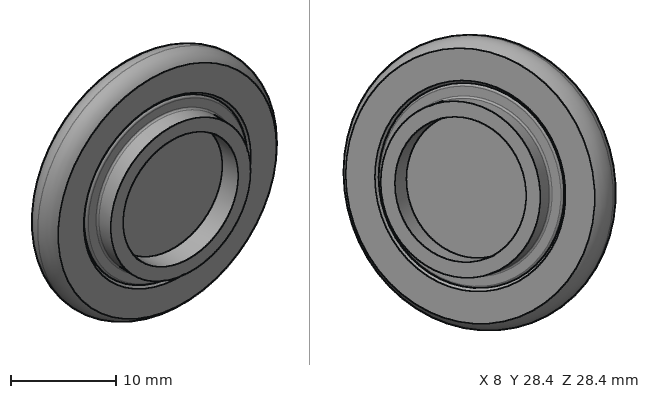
import cadquery as cq
import math

outer_radius = 14.22
overall_length = 8.0
half_length = overall_length / 2

hub_radius = 8.5
bore_radius = 7.0
bore_depth = 2.42
root_fillet = 0.2

disc_half_width = 1.95
rim_section_radius = 2.5
rim_center_radius = outer_radius - rim_section_radius

shoulder_radius = 9.87
shoulder_rounding = 0.23

bore_floor = half_length - bore_depth
root_x = disc_half_width + root_fillet
root_radius = hub_radius + root_fillet
arc_middle = math.sqrt(0.5)
flat_half_height = math.sqrt(rim_section_radius**2 - disc_half_width**2)
groove_inner_edge = shoulder_radius - shoulder_rounding
groove_outer_edge = rim_center_radius - flat_half_height
rim_edge = rim_center_radius + flat_half_height
rounding_end_x = disc_half_width - shoulder_rounding


def ring_section_x(radius):
    """Axial half width of the circular ring section at a given radius."""
    return math.sqrt(rim_section_radius**2 - (radius - rim_center_radius)**2)


def half_profile():
    """Closed outline of the +X half in the XY plane: X along the axis, Y as radius."""
    groove_middle = (shoulder_radius + groove_outer_edge) / 2
    rim_middle = (rim_edge + outer_radius) / 2
    return (
        cq.Workplane("XY")
        .lineTo(bore_floor, 0)
        .lineTo(bore_floor, bore_radius)
        .lineTo(half_length, bore_radius)
        .lineTo(half_length, hub_radius)
        .lineTo(root_x, hub_radius)
        .threePointArc(
            (root_x - root_fillet * arc_middle, root_radius - root_fillet * arc_middle),
            (disc_half_width, root_radius),
        )
        .lineTo(disc_half_width, groove_inner_edge)
        .threePointArc(
            (
                rounding_end_x + shoulder_rounding * arc_middle,
                groove_inner_edge + shoulder_rounding * arc_middle,
            ),
            (rounding_end_x, shoulder_radius),
        )
        .lineTo(ring_section_x(shoulder_radius), shoulder_radius)
        .threePointArc(
            (ring_section_x(groove_middle), groove_middle),
            (disc_half_width, groove_outer_edge),
        )
        .lineTo(disc_half_width, rim_edge)
        .threePointArc((ring_section_x(rim_middle), rim_middle), (0, outer_radius))
        .lineTo(0, 0)
        .close()
    )


half_disc = half_profile().revolve(360, (0, 0, 0), (1, 0, 0))
result = half_disc.union(half_disc.mirror("YZ"), clean=False)